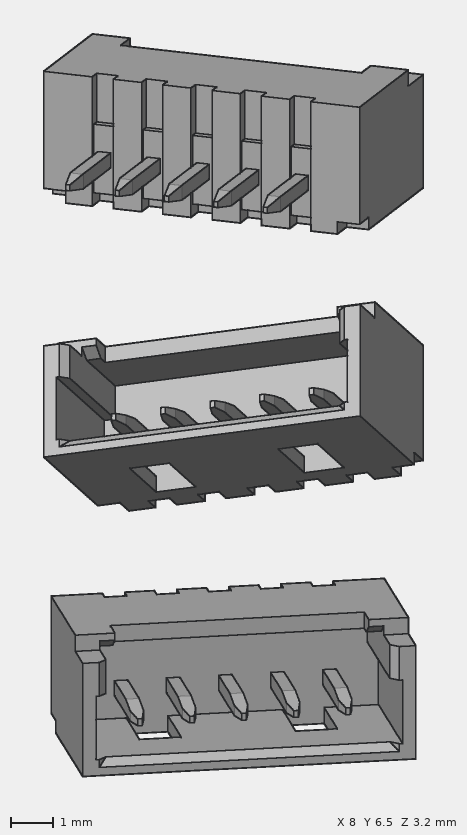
import cadquery as cq


width = 8.0
depth = 4.2
height = 3.2
wall_top = 0.4
wall_bottom = 0.4
wall_side = 0.59
front_wall = 1.0
arm_length = 0.98
mouth_width = 6.1
mouth_depth = 1.6

cavity_width = width - 2 * wall_side
cavity_depth = depth - front_wall
cavity_top = height - wall_top
cavity_height = cavity_top - wall_bottom
lead_in = 0.19
lip_depth = 0.32
lip_rise = 0.22
rail_groove_depth = 0.27
rail_groove_top = 1.97

window_width = 1.0
window_start = 1.45

relief_height = 0.3
corner_width = 0.56
corner_depth = 0.6
groove_width = 0.54
upper_groove_depth = 0.3
middle_groove_depth = 0.1
lower_groove_depth = 0.48
groove_step_z = 2.0

pin_count = 5
pin_row_length = 5.0
pin_pitch = pin_row_length / (pin_count - 1)
pin_width = 0.32
pin_thickness = 0.37
pin_z = 1.15
pin_reach = 2.3
solder_tip_length = 0.58
solder_tip_width = 0.1
solder_tip_thickness = 0.14
contact_gap = 0.7
contact_tip_length = 0.4
contact_tip_width = 0.11
contact_slope_length = 1.0
contact_slope_drop = 0.2

pin_centers = [(i - (pin_count - 1) / 2) * pin_pitch for i in range(pin_count)]


def block(x_center, x_size, y_min, y_max, z_min, z_max):
    """Box centred on x_center and running between the given Y and Z limits."""
    size = (x_size, y_max - y_min, z_max - z_min)
    return cq.Workplane("XY").box(*size, centered=(True, False, False)).translate((x_center, y_min, z_min))


def make_shell():
    """Outer block with the top wall set back over the arms and over the mouth."""
    shell = block(0, width, 0, depth, 0, height)
    shell = shell.cut(block(0, width, depth - arm_length, depth, cavity_top, height))
    return shell.cut(block(0, mouth_width, depth - mouth_depth, depth, cavity_top, height))


def make_cavity():
    """Connector cavity, its flared entry and the grooves in its side walls."""
    cavity = block(0, cavity_width, depth - cavity_depth, depth, wall_bottom, cavity_top)

    flare_bottom = (
        cq.Workplane("YZ")
        .moveTo(depth - lead_in, wall_bottom)
        .lineTo(depth, wall_bottom - lead_in)
        .lineTo(depth, cavity_top)
        .lineTo(depth - lead_in, cavity_top)
        .close()
        .extrude(cavity_width / 2 + lead_in, both=True)
    )
    flare_sides = (
        cq.Workplane("XY")
        .workplane(offset=wall_bottom - lead_in)
        .moveTo(-cavity_width / 2, depth - lead_in)
        .lineTo(cavity_width / 2, depth - lead_in)
        .lineTo(cavity_width / 2 + lead_in, depth)
        .lineTo(-cavity_width / 2 - lead_in, depth)
        .close()
        .extrude(cavity_height + lead_in)
    )
    cavity = cavity.union(flare_bottom.intersect(flare_sides))

    lip_y = depth - arm_length
    lip = (
        cq.Workplane("YZ")
        .moveTo(lip_y - lip_depth, cavity_top)
        .lineTo(lip_y, cavity_top)
        .lineTo(lip_y, cavity_top + lip_rise)
        .close()
        .extrude(cavity_width / 2, both=True)
    )
    cavity = cavity.union(lip)

    rail_span = cavity_width + 2 * rail_groove_depth
    return cavity.union(block(0, rail_span, depth - cavity_depth, depth, wall_bottom, rail_groove_top))


def make_windows():
    """Openings in the bottom wall, between the first and the last pair of pins."""
    window_x = (pin_centers[0] + pin_centers[1]) / 2
    y_range = (depth - cavity_depth, depth - window_start)
    left = block(-window_x, window_width, *y_range, 0, wall_bottom)
    return left.union(block(window_x, window_width, *y_range, 0, wall_bottom))


def make_front_groove(x):
    """Vertical groove around one pin, with a shallow middle stretch."""
    groove = block(x, groove_width, 0, middle_groove_depth, 0, height)
    groove = groove.union(block(x, groove_width, 0, upper_groove_depth, groove_step_z, height))
    return groove.union(block(x, groove_width, 0, lower_groove_depth, 0, relief_height))


def make_corner_notch(side):
    """Notch in one lower front corner; side is -1 or 1."""
    x = side * (width - corner_width) / 2
    return block(x, corner_width, 0, corner_depth, 0, relief_height)


def make_pin(x):
    """Straight pin: tapered on four sides for soldering, pointed and sloped at the contact end."""
    contact_end = depth - contact_gap
    solder_shoulder = solder_tip_length - pin_reach
    plan = (
        cq.Workplane("XY")
        .moveTo(-solder_tip_width / 2, -pin_reach)
        .lineTo(solder_tip_width / 2, -pin_reach)
        .lineTo(pin_width / 2, solder_shoulder)
        .lineTo(pin_width / 2, contact_end - contact_tip_length)
        .lineTo(contact_tip_width / 2, contact_end)
        .lineTo(-contact_tip_width / 2, contact_end)
        .lineTo(-pin_width / 2, contact_end - contact_tip_length)
        .lineTo(-pin_width / 2, solder_shoulder)
        .close()
        .extrude(pin_thickness, both=True)
    )
    profile = (
        cq.Workplane("YZ")
        .moveTo(-pin_reach, -solder_tip_thickness / 2)
        .lineTo(solder_shoulder, -pin_thickness / 2)
        .lineTo(contact_end, -pin_thickness / 2)
        .lineTo(contact_end, pin_thickness / 2 - contact_slope_drop)
        .lineTo(contact_end - contact_slope_length, pin_thickness / 2)
        .lineTo(solder_shoulder, pin_thickness / 2)
        .lineTo(-pin_reach, solder_tip_thickness / 2)
        .close()
        .extrude(pin_width, both=True)
    )
    return plan.intersect(profile).translate((x, 0, pin_z))


result = make_shell().cut(make_cavity()).cut(make_windows())
for side in (-1, 1):
    result = result.cut(make_corner_notch(side))
for x in pin_centers:
    result = result.cut(make_front_groove(x))
for x in pin_centers:
    result = result.union(make_pin(x))